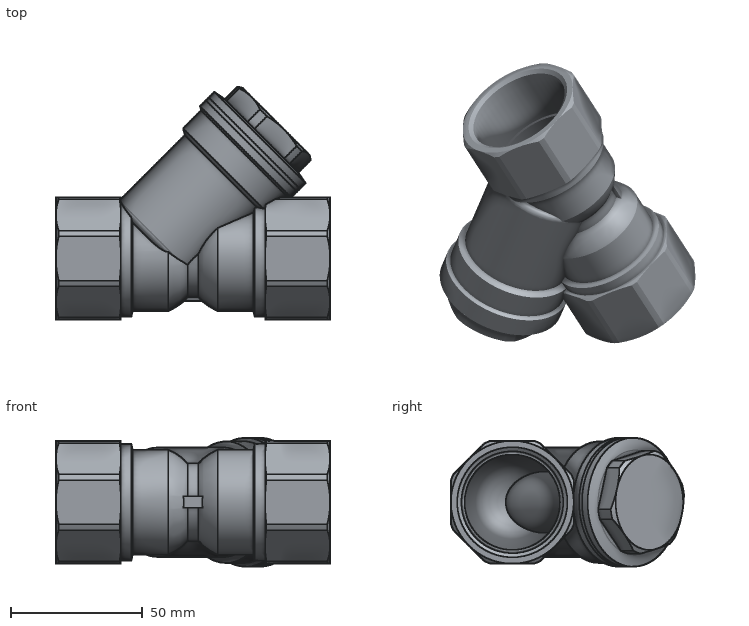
import cadquery as cq
import math


RUN_HALF_LENGTH = 52.0
END_FLATS = 46.6
END_CORNER_RADIUS = 24.8
END_LENGTH = 24.6
END_OUTER_CHAMFER = 1.0
END_INNER_CHAMFER = 0.5
COLLAR_RADIUS = 22.2
COLLAR_LENGTH = 4.0
COLLAR_TAPER = 0.5
RUN_RADIUS = 20.0
NECK_RADIUS = 14.9
NECK_HALF_LENGTH = 2.1
SHOULDER_X = 9.5
SHOULDER_BULGE = 0.46

MOUTH_RADIUS = 20.9
MOUTH_DEPTH = 1.0
THREAD_RADIUS = 19.3
THREAD_DEPTH = 22.4
CHAMBER_RADIUS = 18.1
CHAMBER_END_RADIUS = 20.8
CHAMBER_END_X = 1.9

RIB_LENGTH = 7.4
RIB_WIDTH = 4.4
RIB_REACH = 16.2

BRANCH_ANGLE = 45.0
BRANCH_CROSSING_X = -20.5
BRANCH_RADIUS = 20.8
BRANCH_BASE = 7.9
BRANCH_BASE_FILLET = 2.3
COLLAR_STEP_START = 45.3
COLLAR_STEP_END = 46.7
BRANCH_COLLAR_RADIUS = 23.1
FLANGE_STEP_START = 56.4
FLANGE_STEP_END = 57.2
FLANGE_DIAMETER = 49.0
FLANGE_RADIUS = FLANGE_DIAMETER / 2
BODY_TOP = 60.3
BRANCH_BORE_RADIUS = 17.7
SEAT_HEIGHT = 12.2

SCREEN_INNER_RADIUS = 15.3
SCREEN_WALL = 1.0
GASKET_THICKNESS = 1.6
CAP_RIM_HEIGHT = 3.0
CAP_CONE_HEIGHT = 0.8
CAP_HEX_FLATS = 36.2
CAP_HEX_CORNER_RADIUS = 19.9
CAP_HEX_HEIGHT = 7.8
CAP_HEX_CHAMFER = 1.0
CAP_HEX_TURN = 43.3

HALF_TURN = 180.0
FULL_TURN = 360.0
END_SIDES = 8
CAP_SIDES = 6


def revolved_about_x(profile):
    """Turn a closed profile, drawn in XY, about the X axis."""
    return profile.close().revolve(FULL_TURN, (0, 0, 0), (1, 0, 0))


def revolved_about_z(points):
    """Turn a closed outline of (radius, height) points about the Z axis."""
    return cq.Workplane("XZ").polyline(points).close().revolve(FULL_TURN, (0, 0, 0), (0, 1, 0))


def place_on_branch(shape):
    """Move a shape built along Z so that its axis becomes the branch axis."""
    lying = shape.rotate((0, 0, 0), (0, 1, 0), 90)
    turned = lying.rotate((0, 0, 0), (0, 0, 1), BRANCH_ANGLE)
    return turned.translate((BRANCH_CROSSING_X, 0, 0))


def mirrored_pair(shape):
    """Join a shape on the -X side with its mirror image on the +X side."""
    return shape.union(shape.mirror("YZ"))


def circumscribed_diameter(flats, sides):
    return flats / math.cos(math.pi / sides)


def run_end():
    """Octagonal end on the -X side with turned and chamfered corners."""
    prism = (
        cq.Workplane("YZ")
        .workplane(offset=-RUN_HALF_LENGTH)
        .transformed(rotate=(0, 0, HALF_TURN / END_SIDES))
        .polygon(END_SIDES, circumscribed_diameter(END_FLATS, END_SIDES))
        .extrude(END_LENGTH)
    )
    inner_x = -RUN_HALF_LENGTH + END_LENGTH
    envelope = revolved_about_x(
        cq.Workplane("XY")
        .moveTo(-RUN_HALF_LENGTH, 0)
        .lineTo(-RUN_HALF_LENGTH, END_FLATS / 2)
        .lineTo(-RUN_HALF_LENGTH + END_OUTER_CHAMFER, END_CORNER_RADIUS)
        .lineTo(inner_x - END_INNER_CHAMFER, END_CORNER_RADIUS)
        .lineTo(inner_x, END_FLATS / 2)
        .lineTo(inner_x, 0)
    )
    return prism.intersect(envelope)


def run_waist():
    """Round part between the ends: collars, cylinders, rounded shoulders and neck."""
    collar_start = RUN_HALF_LENGTH - END_LENGTH
    collar_end = collar_start - COLLAR_LENGTH
    taper_end = collar_end - COLLAR_TAPER
    return revolved_about_x(
        cq.Workplane("XY")
        .moveTo(-collar_start, 0)
        .lineTo(-collar_start, COLLAR_RADIUS)
        .lineTo(-collar_end, COLLAR_RADIUS)
        .lineTo(-taper_end, RUN_RADIUS)
        .lineTo(-SHOULDER_X, RUN_RADIUS)
        .sagittaArc((-NECK_HALF_LENGTH, NECK_RADIUS), SHOULDER_BULGE)
        .lineTo(NECK_HALF_LENGTH, NECK_RADIUS)
        .sagittaArc((SHOULDER_X, RUN_RADIUS), SHOULDER_BULGE)
        .lineTo(taper_end, RUN_RADIUS)
        .lineTo(collar_end, COLLAR_RADIUS)
        .lineTo(collar_start, COLLAR_RADIUS)
        .lineTo(collar_start, 0)
    )


def run_chamber():
    """Bore on the -X side: chamfered mouth, thread bore and round-ended chamber."""
    thread_end = -RUN_HALF_LENGTH + THREAD_DEPTH
    sphere_x = -CHAMBER_END_X - CHAMBER_END_RADIUS
    sphere_start = sphere_x + math.sqrt(CHAMBER_END_RADIUS**2 - CHAMBER_RADIUS**2)
    half_angle = math.asin(CHAMBER_RADIUS / CHAMBER_END_RADIUS) / 2
    arc_middle = (
        sphere_x + CHAMBER_END_RADIUS * math.cos(half_angle),
        CHAMBER_END_RADIUS * math.sin(half_angle),
    )
    return revolved_about_x(
        cq.Workplane("XY")
        .moveTo(-RUN_HALF_LENGTH, 0)
        .lineTo(-RUN_HALF_LENGTH, MOUTH_RADIUS)
        .lineTo(-RUN_HALF_LENGTH + MOUTH_DEPTH, THREAD_RADIUS)
        .lineTo(thread_end, THREAD_RADIUS)
        .lineTo(thread_end, CHAMBER_RADIUS)
        .lineTo(sphere_start, CHAMBER_RADIUS)
        .threePointArc(arc_middle, (-CHAMBER_END_X, 0))
    )


def neck_rib():
    """Small block on the -Y side of the neck."""
    return cq.Workplane("XY").box(RIB_LENGTH, RIB_REACH, RIB_WIDTH).translate((0, -RIB_REACH / 2, 0))


def branch_tube():
    """Outside of the branch: round-edged base, tube, collar and flange."""
    tube = (
        cq.Workplane("XY")
        .workplane(offset=BRANCH_BASE)
        .circle(BRANCH_RADIUS)
        .extrude(COLLAR_STEP_END - BRANCH_BASE)
        .faces("<Z")
        .edges()
        .fillet(BRANCH_BASE_FILLET)
    )
    head = revolved_about_z(
        [
            (0, COLLAR_STEP_START),
            (BRANCH_RADIUS, COLLAR_STEP_START),
            (BRANCH_COLLAR_RADIUS, COLLAR_STEP_END),
            (BRANCH_COLLAR_RADIUS, FLANGE_STEP_START),
            (FLANGE_RADIUS, FLANGE_STEP_END),
            (FLANGE_RADIUS, BODY_TOP),
            (0, BODY_TOP),
        ]
    )
    return place_on_branch(tube.union(head))


def branch_bore():
    """Bore of the branch with a narrower opening from the seat into the inlet chamber."""
    return place_on_branch(
        revolved_about_z(
            [
                (0, 0),
                (SCREEN_INNER_RADIUS, 0),
                (SCREEN_INNER_RADIUS, SEAT_HEIGHT),
                (BRANCH_BORE_RADIUS, SEAT_HEIGHT),
                (BRANCH_BORE_RADIUS, BODY_TOP),
                (0, BODY_TOP),
            ]
        )
    )


def make_body():
    outside = run_waist().union(mirrored_pair(run_end())).union(neck_rib()).union(branch_tube())
    inlet = run_chamber()
    outlet = inlet.mirror("YZ")
    return outside.cut(inlet).cut(outlet).cut(branch_bore())


def make_ring(inner_radius, outer_radius, bottom, top):
    """Plain ring around the branch axis."""
    ring = (
        cq.Workplane("XY")
        .workplane(offset=bottom)
        .circle(outer_radius)
        .circle(inner_radius)
        .extrude(top - bottom)
    )
    return place_on_branch(ring)


def make_cap(bottom):
    """Disc with a shallow conical top and a hexagon with turned and chamfered corners."""
    rim_top = bottom + CAP_RIM_HEIGHT
    hex_bottom = rim_top + CAP_CONE_HEIGHT
    hex_top = hex_bottom + CAP_HEX_HEIGHT
    disc = revolved_about_z(
        [
            (0, bottom),
            (FLANGE_RADIUS, bottom),
            (FLANGE_RADIUS, rim_top),
            (CAP_HEX_CORNER_RADIUS, hex_bottom),
            (0, hex_bottom),
        ]
    )
    prism = (
        cq.Workplane("XY")
        .workplane(offset=hex_bottom)
        .transformed(rotate=(0, 0, CAP_HEX_TURN))
        .polygon(CAP_SIDES, circumscribed_diameter(CAP_HEX_FLATS, CAP_SIDES))
        .extrude(CAP_HEX_HEIGHT)
    )
    envelope = revolved_about_z(
        [
            (0, hex_bottom),
            (CAP_HEX_CORNER_RADIUS, hex_bottom),
            (CAP_HEX_CORNER_RADIUS, hex_top - CAP_HEX_CHAMFER),
            (CAP_HEX_FLATS / 2, hex_top),
            (0, hex_top),
        ]
    )
    return place_on_branch(disc.union(prism.intersect(envelope)))


gasket_top = BODY_TOP + GASKET_THICKNESS

body = make_body()
screen = make_ring(SCREEN_INNER_RADIUS, SCREEN_INNER_RADIUS + SCREEN_WALL, SEAT_HEIGHT, gasket_top)
gasket = make_ring(BRANCH_BORE_RADIUS, FLANGE_RADIUS, BODY_TOP, gasket_top)
cap = make_cap(gasket_top)

result = cq.Compound.makeCompound([part.solids().val() for part in (body, screen, gasket, cap)])